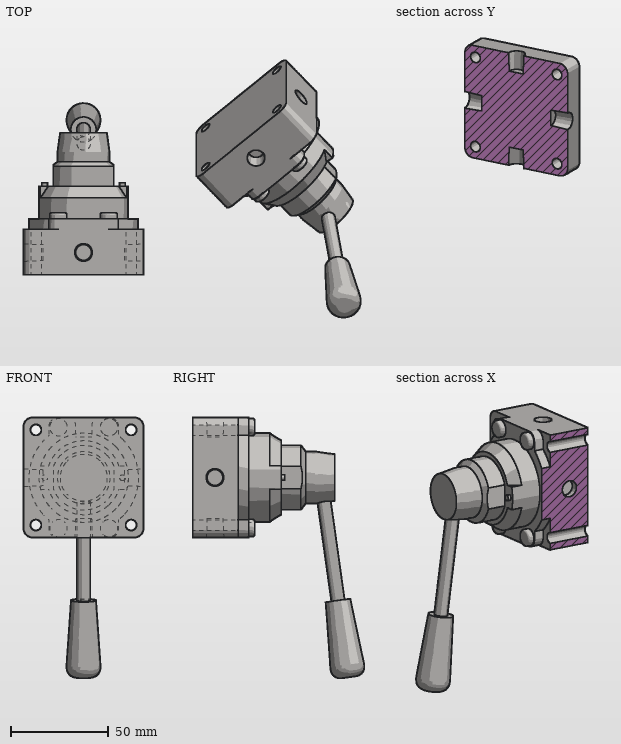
import cadquery as cq
import math


block_side = 62.0
block_depth = 23.5
corner_radius = 5.0
mount_hole_diameter = 5.5
mount_hole_offset = 24.5
port_diameter = 9.0
port_floor_diameter = 8.2
port_depth = 10.0
port_y = 11.5

plate_top = 28.8
plate_diameter = 56.4
screw_offset_x = 13.0
screw_offset_z = block_side / 2 - corner_radius
lug_width = 2 * (screw_offset_x + corner_radius)
screw_head_diameter = 9.0
screw_head_top = 32.0
screw_head_rounding = 1.25

bonnet_diameter = 46.0
bonnet_shoulder_y = 39.6
bonnet_top = 45.7
bonnet_top_diameter = 38.2
wing_width = 12.2
pin_diameter = 3.0
pin_height = 1.7
pin_offset_x = 20.0

collar_diameter = 33.3
collar_shoulder_y = 55.8
collar_top = 58.2
collar_flat_distance = 31.3

head_diameter = 27.0
head_shoulder_y = 63.1
head_top = 73.2
head_top_diameter = 24.2

lever_y = 65.95
lever_tilt = 8.0
rod_diameter = 7.0
grip_start = 63.9
grip_end = 103.93
grip_start_diameter = 13.0
grip_end_diameter = 17.6
grip_taper_end = 97.4
grip_end_rounding = 5.0


def plane_at(y):
    """Sketch plane facing +Y at the given height above the mounting face."""
    return cq.Workplane(cq.Plane(origin=(0, y, 0), xDir=(1, 0, 0), normal=(0, 1, 0)))


def rounded_box(width, height, y_start, y_end):
    """Box along Y with its four long edges rounded."""
    box = plane_at(y_start).rect(width, height).extrude(y_end - y_start)
    return box.edges("|Y").fillet(corner_radius)


def disc(diameter, y_start, y_end):
    return plane_at(y_start).circle(diameter / 2).extrude(y_end - y_start)


def turned(profile):
    """Solid of revolution about Y from (radius, y) points that start and end on the axis."""
    return cq.Workplane("XY").polyline(profile).close().revolve(360, (0, 0, 0), (0, 1, 0))


def make_block():
    block = rounded_box(block_side, block_side, 0, block_depth)
    hole_spacing = 2 * mount_hole_offset
    holes = (
        plane_at(0)
        .rect(hole_spacing, hole_spacing, forConstruction=True)
        .vertices()
        .circle(mount_hole_diameter / 2)
        .extrude(block_depth)
    )
    block = block.cut(holes)

    port_taper = math.degrees(math.atan((port_diameter - port_floor_diameter) / 2 / port_depth))
    port = (
        cq.Workplane("XY", origin=(0, port_y, block_side / 2))
        .circle(port_diameter / 2)
        .extrude(-port_depth, taper=port_taper)
    )
    for angle in (0, 90, 180, 270):
        block = block.cut(port.rotate((0, 0, 0), (0, 1, 0), angle))
    return block


def make_plate():
    plate = disc(plate_diameter, block_depth, plate_top)
    plate = plate.union(rounded_box(lug_width, block_side, block_depth, plate_top))
    screw_heads = (
        plane_at(plate_top)
        .rect(2 * screw_offset_x, 2 * screw_offset_z, forConstruction=True)
        .vertices()
        .circle(screw_head_diameter / 2)
        .extrude(screw_head_top - plate_top)
        .faces(">Y")
        .edges()
        .fillet(screw_head_rounding)
    )
    return plate.union(screw_heads)


def make_bonnet():
    bonnet_radius = bonnet_diameter / 2
    bonnet = disc(bonnet_diameter, plate_top, bonnet_top)

    cone = turned([
        (0, bonnet_shoulder_y),
        (bonnet_radius, bonnet_shoulder_y),
        (bonnet_top_diameter / 2, bonnet_top),
        (0, bonnet_top),
    ])
    wing_bar = (
        plane_at(bonnet_shoulder_y)
        .rect(2 * bonnet_diameter, wing_width)
        .extrude(bonnet_top - bonnet_shoulder_y)
    )
    waste = disc(2 * bonnet_diameter, bonnet_shoulder_y, bonnet_top).cut(cone).cut(wing_bar)
    bonnet = bonnet.cut(waste)

    pins = (
        plane_at(bonnet_top)
        .pushPoints([(-pin_offset_x, 0), (pin_offset_x, 0)])
        .circle(pin_diameter / 2)
        .extrude(pin_height)
    )
    return bonnet.union(pins)


def make_collar():
    collar_radius = collar_diameter / 2
    collar = turned([
        (0, bonnet_top),
        (collar_radius, bonnet_top),
        (collar_radius, collar_shoulder_y),
        (head_diameter / 2, collar_top),
        (0, collar_top),
    ])
    flats = (
        plane_at(bonnet_top)
        .rect(collar_flat_distance, collar_diameter)
        .extrude(collar_top - bonnet_top)
    )
    return collar.intersect(flats)


def make_head():
    head_radius = head_diameter / 2
    return turned([
        (0, collar_top),
        (head_radius, collar_top),
        (head_radius, head_shoulder_y),
        (head_top_diameter / 2, head_top),
        (0, head_top),
    ])


def make_lever():
    """Rod and tapered grip, turned about Y and then swung down to lean away from the block."""
    grip_radius = grip_end_diameter / 2
    rounding_start = grip_end - grip_end_rounding
    rounding_reach = grip_end_rounding * math.sin(math.radians(45))
    rounding_center_radius = grip_radius - grip_end_rounding
    grip = (
        cq.Workplane("XY")
        .moveTo(0, grip_start)
        .lineTo(grip_start_diameter / 2, grip_start)
        .lineTo(grip_radius, grip_taper_end)
        .lineTo(grip_radius, rounding_start)
        .threePointArc(
            (rounding_center_radius + rounding_reach, rounding_start + rounding_reach),
            (rounding_center_radius, grip_end),
        )
        .lineTo(0, grip_end)
        .close()
        .revolve(360, (0, 0, 0), (0, 1, 0))
    )
    lever = disc(rod_diameter, 0, grip_start).union(grip)
    return lever.rotate((0, 0, 0), (1, 0, 0), lever_tilt - 90).translate((0, lever_y, 0))


result = make_block()
for component in (make_plate(), make_bonnet(), make_collar(), make_head(), make_lever()):
    result = result.union(component)